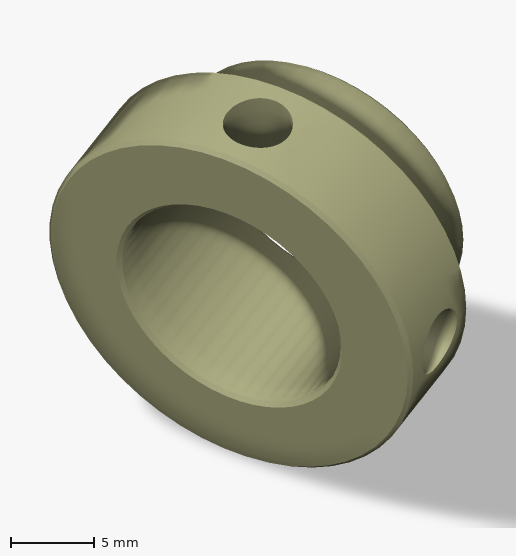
import cadquery as cq

flange_diameter = 25.0
flange_width = 7.0
hub_diameter = 19.0
total_width = 12.0
bore_diameter = 15.0
edge_chamfer = 0.25
screw_hole_diameter = 4.2

flange_radius = flange_diameter / 2
hub_radius = hub_diameter / 2
bore_radius = bore_diameter / 2
screw_hole_y = flange_width / 2


def cylinder_along_y(radius, length):
    """Solid cylinder from Y = 0 toward +Y."""
    return cq.Workplane("XZ").circle(radius).extrude(-length)


def radial_hole(direction):
    """Cutter from the collar axis outward through one wall, centred in the flange width."""
    return cq.Workplane(
        cq.Solid.makeCylinder(
            screw_hole_diameter / 2,
            flange_radius,
            cq.Vector(0, screw_hole_y, 0),
            cq.Vector(*direction),
        )
    )


flange = cylinder_along_y(flange_radius, flange_width).edges("%CIRCLE").chamfer(edge_chamfer)
hub = cylinder_along_y(hub_radius, total_width).faces(">Y").edges().chamfer(edge_chamfer)
body = flange.union(hub)

body = body.cut(cylinder_along_y(bore_radius, total_width))
bore_mouths = cq.selectors.RadiusNthSelector(0)
body = body.edges(bore_mouths).chamfer(edge_chamfer)

for outward in ((1, 0, 0), (0, 0, 1)):
    body = body.cut(radial_hole(outward))

result = body